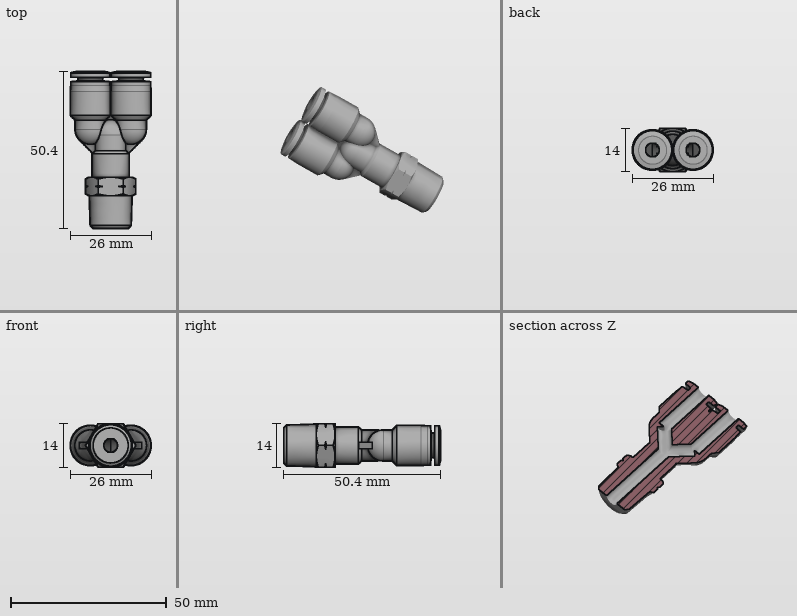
import cadquery as cq
import math


thread_length = 10.5
thread_end_radius = 6.63
thread_end_chamfer = 1.0
thread_taper = 1 / 16
thread_root_radius = thread_end_radius + (thread_length - thread_end_chamfer) * thread_taper / 2

hex_across_flats = 14.0
hex_height = 6.0
hex_chamfer_angle = 30.0
hex_groove_width = 0.55
hex_groove_depth = 0.6
hex_corner_radius = hex_across_flats / math.sqrt(3)
hex_face_radius = hex_across_flats / 2
hex_top = thread_length + hex_height
hex_chamfer_drop = (hex_corner_radius - hex_face_radius) * math.tan(math.radians(hex_chamfer_angle))

collar_radius = 6.0
collar_length = 7.5
arm_radius = 5.0
dome_reach = arm_radius * math.cos(math.radians(45))
stem_dome_center = 30.05
collar_end = hex_top + collar_length
stem_start = collar_end + (collar_radius - arm_radius)

branch_offset = 6.5
branch_dome_center = 31.9
shell_radius = 6.5
shell_start = 36.3
shell_cone_start = shell_start - (shell_radius - arm_radius)
shell_straight_end = 44.05

cap_radius = 6.35
cap_start = 46.0
cap_end = 47.1
cap_crown = 0.25

neck_radius = 4.0
neck_flare = 0.15
flange_start = 48.45
flange_bevel_start = 49.8
flange_crown_start = 50.0
flange_bevel = 0.15
button_rim_radius = 4.5
button_end = 50.4

web_thickness = 2.0
middle_web_end = cap_start

bore_radius = 2.2
passage_split = branch_dome_center - branch_offset


def revolve_about_y(profile, x_offset=0.0):
    """Revolve a closed (radius, y) profile about a line parallel to Y."""
    body = profile.close().revolve(360, (0, 0, 0), (0, 1, 0))
    return body.translate((x_offset, 0, 0))


def plate(points):
    """Flat web centred on the XY plane."""
    return cq.Workplane("XY").polyline(points).close().extrude(web_thickness / 2, both=True)


def passage(start, direction, length):
    """Cylinder of the bore size along a direction in the XY plane."""
    return cq.Workplane(cq.Solid.makeCylinder(bore_radius, length, cq.Vector(*start), cq.Vector(*direction)))


def make_thread():
    profile = (
        cq.Workplane("XY")
        .moveTo(0, 0)
        .lineTo(thread_end_radius - thread_end_chamfer, 0)
        .lineTo(thread_end_radius, thread_end_chamfer)
        .lineTo(thread_root_radius, thread_length)
        .lineTo(0, thread_length)
    )
    return revolve_about_y(profile)


def make_hexagon():
    prism = (
        cq.Workplane("XZ", origin=(0, thread_length, 0))
        .polygon(6, 2 * hex_corner_radius)
        .extrude(-hex_height)
    )
    groove_y = thread_length + hex_height / 2
    envelope = (
        cq.Workplane("XY")
        .moveTo(0, thread_length)
        .lineTo(hex_face_radius, thread_length)
        .lineTo(hex_corner_radius, thread_length + hex_chamfer_drop)
        .lineTo(hex_corner_radius, groove_y - hex_groove_width / 2)
        .lineTo(hex_corner_radius - hex_groove_depth, groove_y)
        .lineTo(hex_corner_radius, groove_y + hex_groove_width / 2)
        .lineTo(hex_corner_radius, hex_top - hex_chamfer_drop)
        .lineTo(hex_face_radius, hex_top)
        .lineTo(0, hex_top)
    )
    return prism.intersect(revolve_about_y(envelope))


def make_stem():
    profile = (
        cq.Workplane("XY")
        .moveTo(0, thread_length)
        .lineTo(collar_radius, thread_length)
        .lineTo(collar_radius, collar_end)
        .lineTo(arm_radius, stem_start)
        .lineTo(arm_radius, stem_dome_center)
        .threePointArc((dome_reach, stem_dome_center + dome_reach), (0, stem_dome_center + arm_radius))
    )
    return revolve_about_y(profile)


def make_branch(side):
    profile = (
        cq.Workplane("XY")
        .moveTo(0, branch_dome_center - arm_radius)
        .threePointArc((dome_reach, branch_dome_center - dome_reach), (arm_radius, branch_dome_center))
        .lineTo(arm_radius, shell_cone_start)
        .lineTo(shell_radius, shell_start)
        .lineTo(shell_radius, shell_straight_end)
        .lineTo(cap_radius, cap_start)
        .lineTo(cap_radius, cap_end)
        .lineTo(neck_radius, cap_end + cap_crown)
        .lineTo(neck_radius, flange_start - neck_flare)
        .lineTo(neck_radius + neck_flare, flange_start)
        .lineTo(cap_radius, flange_start)
        .lineTo(cap_radius, flange_bevel_start)
        .lineTo(cap_radius - flange_bevel, flange_crown_start)
        .lineTo(button_rim_radius, button_end)
        .lineTo(0, button_end)
    )
    return revolve_about_y(profile, side * branch_offset)


def make_side_web(side):
    tangent_x = branch_offset + dome_reach
    tangent_y = branch_dome_center - dome_reach
    return plate([
        (0, tangent_y - tangent_x),
        (side * tangent_x, tangent_y),
        (side * branch_offset, branch_dome_center),
        (0, branch_dome_center),
    ])


def make_middle_web():
    return plate([
        (-branch_offset, branch_dome_center),
        (branch_offset, branch_dome_center),
        (branch_offset, middle_web_end),
        (-branch_offset, middle_web_end),
    ])


def make_passages():
    split_point = (0, passage_split, 0)
    bore = passage((0, 0, 0), (0, 1, 0), passage_split)
    for side in (-1, 1):
        turn_point = (side * branch_offset, branch_dome_center, 0)
        bore = bore.union(passage(split_point, (side, 1, 0), branch_offset * math.sqrt(2)))
        bore = bore.union(passage(turn_point, (0, 1, 0), button_end - branch_dome_center))
    return bore


body = make_thread().union(make_hexagon()).union(make_stem()).union(make_middle_web())
for branch_side in (-1, 1):
    body = body.union(make_branch(branch_side)).union(make_side_web(branch_side))

result = body.cut(make_passages())